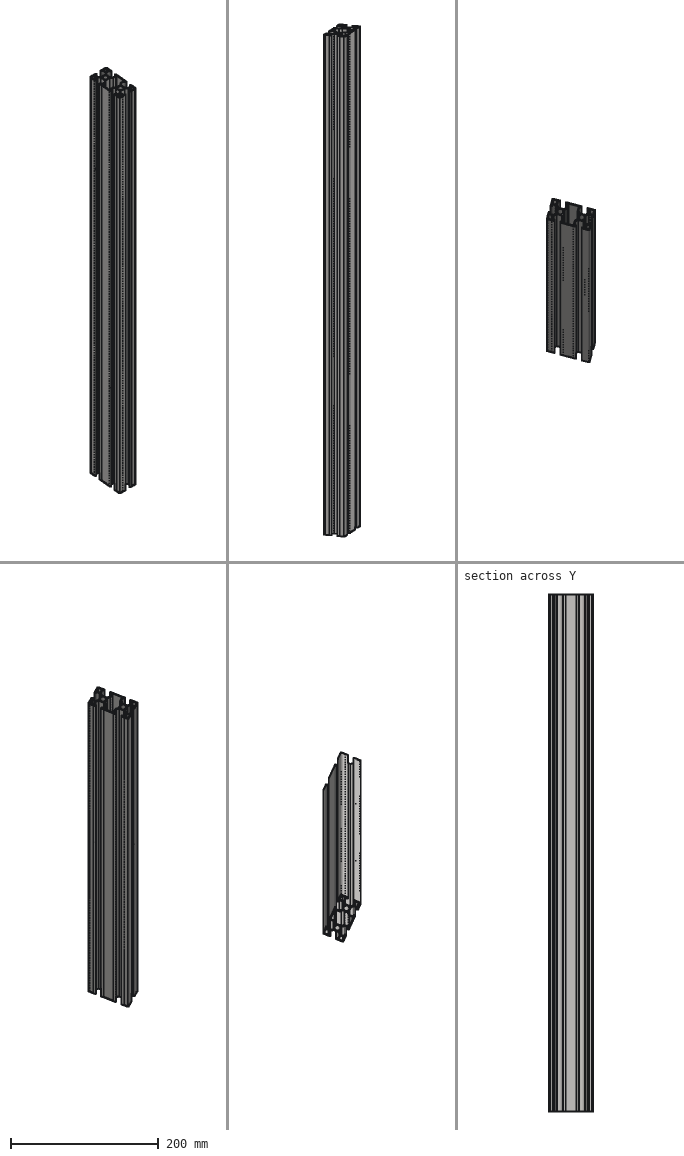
import cadquery as cq

length = 700.0
width = 60.0
depth = 30.0
corner_radius = 1.05

slot_half_width = 4.0
lip_thickness = 2.25
mouth_radius = 0.55
inner_lip_radius = 0.8
chamber_half_width = 6.7
chamber_radius = 0.6

core_half_width = 5.0
core_half_flat = 3.7
bore_radius = 3.8

outer_wall = 1.5
web_thickness = 1.2
pocket_wall = 1.2
pocket_bevel = 1.6

half_width = width / 2
half_depth = depth / 2
core_x = width / 4


def prism(points):
    """Full-length prism over a closed outline."""
    return cq.Workplane("XY").polyline(points).close().extrude(length)


def mirrored(points):
    """Close an outline given for its +X side by adding its mirror image."""
    return points + [(-x, y) for x, y in reversed(points)]


def round_edge(solid, x, y, radius):
    """Round the full-length edge that passes through (x, y)."""
    edge = cq.selectors.NearestToPointSelector((x, y, length / 2))
    return solid.edges(edge).fillet(radius)


def t_slot_cutter():
    """T-slot about the core axis, opening toward +Y, with its floor on the core."""
    ceiling_y = half_depth - lip_thickness
    rib_end_y = core_half_width + chamber_half_width - core_half_flat
    right_side = [
        (core_half_flat, core_half_width),
        (chamber_half_width, rib_end_y),
        (chamber_half_width, ceiling_y),
        (slot_half_width, ceiling_y),
        (slot_half_width, half_depth),
    ]
    cutter = prism(mirrored(right_side))
    for side in (-1, 1):
        cutter = round_edge(cutter, side * chamber_half_width, ceiling_y, chamber_radius)
        cutter = round_edge(cutter, side * slot_half_width, ceiling_y, inner_lip_radius)
    return cutter


def center_hollow():
    """Hollow between the cores, widened where a core flat faces it."""
    wall_x = core_x - chamber_half_width - web_thickness
    wall_end_y = half_depth - outer_wall
    core_face_x = core_x - core_half_width
    rib_end_y = core_half_flat + core_face_x - wall_x
    right_side = [
        (wall_x, -wall_end_y),
        (wall_x, -rib_end_y),
        (core_face_x, -core_half_flat),
        (core_face_x, core_half_flat),
        (wall_x, rib_end_y),
        (wall_x, wall_end_y),
    ]
    return prism(mirrored(right_side))


def corner_pocket(x_sign, y_sign):
    """Hollow in a corner post, beveled on the side facing the core."""
    outer_x = half_width - outer_wall
    outer_y = half_depth - outer_wall
    inner_x = core_x + chamber_half_width + pocket_wall
    inner_y = chamber_half_width + pocket_wall
    outline = [
        (outer_x, outer_y),
        (inner_x, outer_y),
        (inner_x, inner_y + pocket_bevel),
        (inner_x + pocket_bevel, inner_y),
        (outer_x, inner_y),
    ]
    return prism([(x_sign * x, y_sign * y) for x, y in outline])


body = cq.Workplane("XY").rect(width, depth).extrude(length)
body = body.edges("|Z").fillet(corner_radius)

t_slot = t_slot_cutter()
for side in (-1, 1):
    for angle in (0, 180, -90 * side):
        turned = t_slot.rotate((0, 0, 0), (0, 0, 1), angle)
        body = body.cut(turned.translate((side * core_x, 0, 0)))

for side in (-1, 1):
    for offset in (-slot_half_width, slot_half_width):
        body = round_edge(body, side * half_width, offset, mouth_radius)
        body = round_edge(body, side * core_x + offset, half_depth, mouth_radius)
        body = round_edge(body, side * core_x + offset, -half_depth, mouth_radius)

body = body.cut(center_hollow())
for x_sign in (-1, 1):
    for y_sign in (-1, 1):
        body = body.cut(corner_pocket(x_sign, y_sign))

core_centers = [(-core_x, 0), (core_x, 0)]
bores = cq.Workplane("XY").pushPoints(core_centers).circle(bore_radius).extrude(length)
result = body.cut(bores)